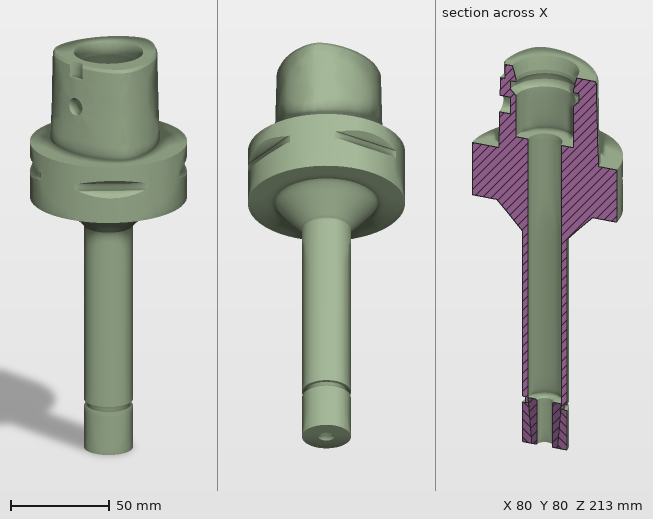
import cadquery as cq
import math


taper_length = 48.0
taper_diameter = 55.4
taper_rate = 1.0 / 20.0
lobe_eccentricity = 2.2
curve_samples = 48
taper_chamfer_height = 1.6
taper_chamfer_width = 0.8

flange_diameter = 80.0
flange_thickness = 30.0
cone_top_diameter = 53.0
cone_height = 15.0
shank_diameter = 25.0
overall_reach = 165.0
nut_bottom = -overall_reach
cone_bottom = -flange_thickness - cone_height

nut_length = 22.7
nut_diameter = shank_diameter
nut_bevel_height = 1.9
nut_bevel_width = 0.1
neck_diameter = 21.5
neck_length = 3.2
nut_top = nut_bottom + nut_length
shank_bottom = nut_top + neck_length

bore_mouth_diameter = 35.4
bore_diameter = 31.7
mouth_depth = 7.0
lip_depth = 9.0
groove_diameter = 37.6
groove_depth = 13.6
bore_depth = 40.0
shank_bore_diameter = 18.2

collet_back_diameter = shank_bore_diameter
collet_nose_diameter = 14.0
collet_bore_diameter = 8.3
collet_mouth_diameter = 9.8
collet_back = shank_bottom

slot_count = 4
slot_first_angle = 45.0
slot_mid_z = -12.0
slot_floor_height = 4.0
slot_floor_radius = 35.3
slot_flare_radius = 36.3
slot_flare_angle = 36.0

notch_radius = 5.6
notch_axis_y = -27.6
notch_depth = 8.0
side_hole_diameter = 9.2
side_hole_z = 25.0
side_hole_floor_y = -19.0


def lobed_wire(mean_diameter, z):
    """Closed three-lobed curve of constant width with one lobe on +Y."""

    def point(turn):
        angle = 2 * math.pi * turn
        lobe_phase = 3 * (angle - math.pi / 2)
        support = mean_diameter / 2 + lobe_eccentricity * math.cos(lobe_phase)
        slope = -3 * lobe_eccentricity * math.sin(lobe_phase)
        x = support * math.cos(angle) - slope * math.sin(angle)
        y = support * math.sin(angle) + slope * math.cos(angle)
        return (x, y, z)

    points = [cq.Vector(*point(i / curve_samples)) for i in range(curve_samples)]
    return cq.Wire.assembleEdges([cq.Edge.makeSpline(points, periodic=True)])


def taper_shank():
    chamfer_z = taper_length - taper_chamfer_height
    chamfer_diameter = taper_diameter - taper_rate * chamfer_z
    top_diameter = chamfer_diameter - 2 * taper_chamfer_width
    sections = [
        lobed_wire(taper_diameter, 0),
        lobed_wire(chamfer_diameter, chamfer_z),
        lobed_wire(top_diameter, taper_length),
    ]
    return cq.Workplane(obj=cq.Solid.makeLoft(sections, True))


def revolve_profile(points):
    """Revolve an (R, Z) outline about the tool axis."""
    return cq.Workplane("XZ").polyline(points).close().revolve(360, (0, 0), (0, 1))


def holder_body():
    points = [
        (0, 0),
        (flange_diameter / 2, 0),
        (flange_diameter / 2, -flange_thickness),
        (cone_top_diameter / 2, -flange_thickness),
        (shank_diameter / 2, cone_bottom),
        (shank_diameter / 2, shank_bottom),
        (neck_diameter / 2, shank_bottom),
        (neck_diameter / 2, nut_top),
        (0, nut_top),
    ]
    return revolve_profile(points)


def holder_bore():
    groove_cone_depth = groove_depth + (groove_diameter - bore_diameter) / 2
    points = [
        (0, taper_length),
        (bore_mouth_diameter / 2, taper_length),
        (bore_diameter / 2, taper_length - mouth_depth),
        (bore_diameter / 2, taper_length - lip_depth),
        (groove_diameter / 2, taper_length - lip_depth),
        (groove_diameter / 2, taper_length - groove_depth),
        (bore_diameter / 2, taper_length - groove_cone_depth),
        (bore_diameter / 2, taper_length - bore_depth),
        (shank_bore_diameter / 2, taper_length - bore_depth),
        (shank_bore_diameter / 2, collet_back),
        (0, collet_back),
    ]
    return revolve_profile(points)


def gripper_slots():
    rim_radius = flange_diameter / 2
    half_floor = slot_floor_height / 2
    flare_rise = (rim_radius - slot_flare_radius) * math.tan(math.radians(slot_flare_angle))
    half_rim = half_floor + flare_rise
    section = [
        (slot_floor_radius, slot_mid_z - half_floor),
        (slot_flare_radius, slot_mid_z - half_floor),
        (rim_radius, slot_mid_z - half_rim),
        (rim_radius, slot_mid_z + half_rim),
        (slot_flare_radius, slot_mid_z + half_floor),
        (slot_floor_radius, slot_mid_z + half_floor),
    ]
    slot = cq.Workplane("XZ").polyline(section).close().extrude(flange_diameter / 2, both=True)
    angles = [slot_first_angle + i * 360 / slot_count for i in range(slot_count)]
    return [slot.rotate((0, 0, 0), (0, 0, 1), angle) for angle in angles]


def orientation_notch():
    floor = cq.Workplane("XY", origin=(0, notch_axis_y, taper_length - notch_depth))
    return floor.circle(notch_radius).extrude(notch_depth)


def side_hole():
    floor = cq.Workplane("XZ", origin=(0, side_hole_floor_y, side_hole_z))
    return floor.circle(side_hole_diameter / 2).extrude(taper_diameter / 2)


def make_collet():
    bore_chamfer = (collet_mouth_diameter - collet_bore_diameter) / 2
    points = [
        (collet_bore_diameter / 2, nut_bottom),
        (collet_nose_diameter / 2, nut_bottom),
        (collet_back_diameter / 2, collet_back),
        (collet_mouth_diameter / 2, collet_back),
        (collet_bore_diameter / 2, collet_back - bore_chamfer),
    ]
    return revolve_profile(points)


def collet_seat():
    points = [
        (0, nut_bottom),
        (collet_nose_diameter / 2, nut_bottom),
        (collet_back_diameter / 2, collet_back),
        (0, collet_back),
    ]
    return revolve_profile(points)


def make_nut():
    radius = nut_diameter / 2
    points = [
        (0, nut_bottom),
        (radius, nut_bottom),
        (radius, nut_top - nut_bevel_height),
        (radius - nut_bevel_width, nut_top),
        (0, nut_top),
    ]
    return revolve_profile(points).cut(collet_seat())


def make_holder():
    holder = holder_body().union(taper_shank())
    holder = holder.cut(holder_bore()).cut(collet_seat())
    for slot in gripper_slots():
        holder = holder.cut(slot)
    return holder.cut(orientation_notch()).cut(side_hole())


holder = make_holder()
nut = make_nut()
collet = make_collet()
result = cq.Compound.makeCompound([holder.val(), nut.val(), collet.val()])